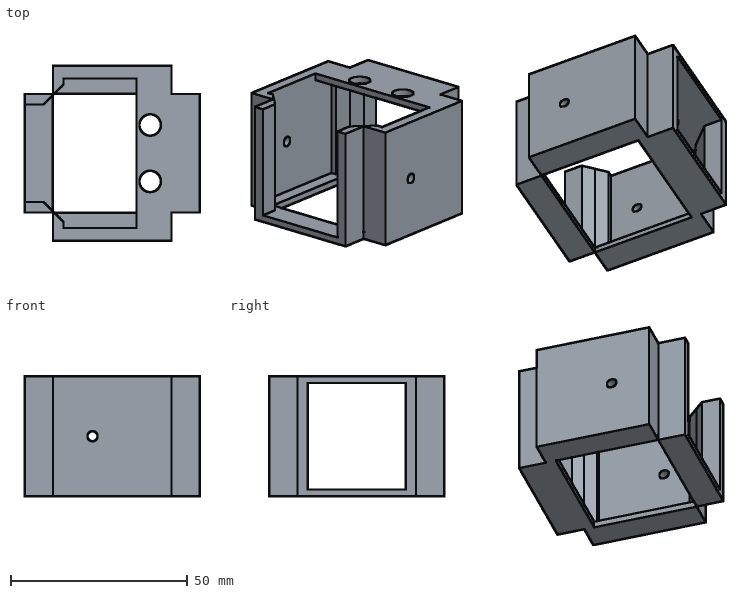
import cadquery as cq

overall_span = 49.7
height = 34.1
corner_notch = 8.0
arm_width = overall_span - 2 * corner_notch

side_wall = 3.7
arm_cheek = 3.0
inner_chamfer = 5.6
plate_thickness = 2.0
cavity_width = overall_span - 2 * side_wall
cavity_arm_width = arm_width - 2 * arm_cheek

roof_edge_x = 6.85
roof_hole_diameter = 6.0
roof_hole_x = 10.75
roof_hole_spacing = 16.0
side_hole_diameter = 2.8
side_hole_x = -5.6


def plus_prism(length_x, length_y, arm_x_width, arm_y_width, depth):
    """Upright plus-shaped prism standing on Z = 0."""
    x_arms = cq.Workplane("XY").rect(length_x, arm_x_width).extrude(depth)
    y_arms = cq.Workplane("XY").rect(arm_y_width, length_y).extrude(depth)
    return x_arms.union(y_arms)


def cavity_prism(depth):
    """Cavity section with its four inward corners cut at 45 degrees."""
    prism = plus_prism(overall_span, cavity_width, cavity_arm_width, cavity_arm_width, depth)
    inner = cavity_arm_width / 2
    outer = inner + inner_chamfer
    corner_cut = (
        cq.Workplane("XY")
        .polyline([
            (outer, inner), (inner, outer), (-inner, outer), (-outer, inner),
            (-outer, -inner), (-inner, -outer), (inner, -outer), (outer, -inner),
        ])
        .close()
        .extrude(depth)
    )
    return prism.union(corner_cut)


def cavity():
    """Space between the floor and roof, carried up through the top where there is no roof."""
    roof_bottom = height - plate_thickness
    roof = (
        cq.Workplane("XY")
        .box(overall_span / 2 - roof_edge_x, overall_span, plate_thickness, centered=(False, True, False))
        .translate((roof_edge_x, 0, roof_bottom))
    )
    return cavity_prism(roof_bottom).translate((0, 0, plate_thickness)).cut(roof)


def floor_opening():
    """Rectangular window through the floor, stopping on the +X side in line with the cavity corners."""
    length = (arm_width + cavity_arm_width) / 2
    return (
        cq.Workplane("XY")
        .box(length, arm_width, plate_thickness, centered=(False, True, False))
        .translate((-arm_width / 2, 0, 0))
    )


def roof_holes():
    """Two vertical holes through the roof."""
    return (
        cq.Workplane("XY", origin=(roof_hole_x, 0, height - plate_thickness))
        .rarray(1, roof_hole_spacing, 1, 2)
        .circle(roof_hole_diameter / 2)
        .extrude(plate_thickness)
    )


def side_holes():
    """One hole along Y through both side walls, at mid height."""
    return (
        cq.Workplane("XZ", origin=(side_hole_x, 0, height / 2))
        .circle(side_hole_diameter / 2)
        .extrude(overall_span / 2, both=True)
    )


body = plus_prism(overall_span, overall_span, arm_width, arm_width, height)
result = body.cut(cavity()).cut(floor_opening()).cut(roof_holes()).cut(side_holes())